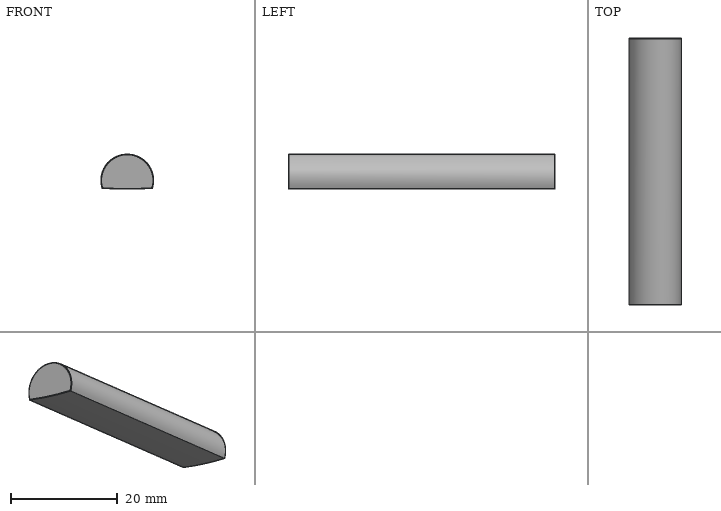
import cadquery as cq
import math

length = 50.0
width = 9.9
height = 6.6
bottom_bulge = 0.175

end_chamfer = 0.125

radius = width / 2
bottom_z = radius - height
corner_z = bottom_z + bottom_bulge
corner_x = math.sqrt(radius**2 - corner_z**2)

result = (
    cq.Workplane("XZ")
    .moveTo(-corner_x, corner_z)
    .threePointArc((0, radius), (corner_x, corner_z))
    .threePointArc((0, bottom_z), (-corner_x, corner_z))
    .close()
    .extrude(length / 2, both=True)
    .faces("<Y or >Y")
    .chamfer(end_chamfer)
)